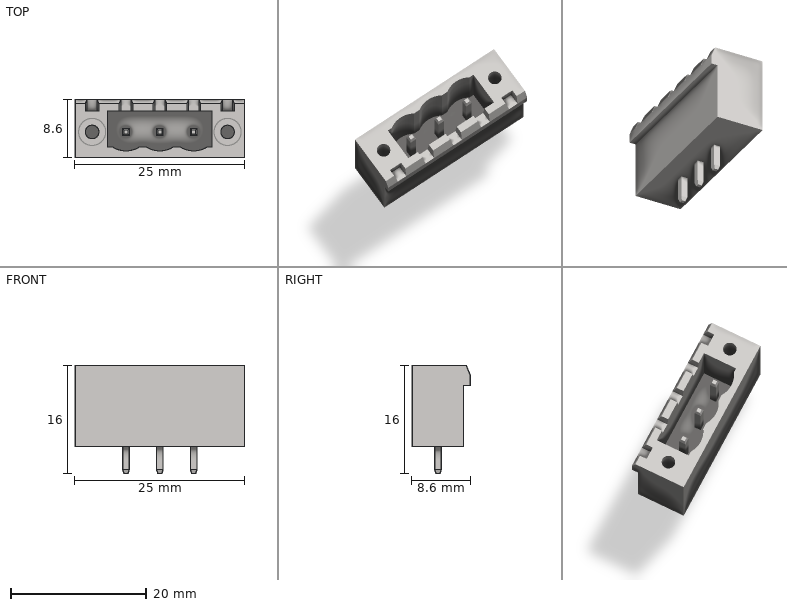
import cadquery as cq

HOUSING_LENGTH = 25.0
HOUSING_HEIGHT = 12.0
FRONT_Y = -3.8
HOUSING_DEPTH = 7.6
BACK_Y = FRONT_Y + HOUSING_DEPTH

LEDGE_OVERHANG = 1.0
LEDGE_HEIGHT = 3.0
LEDGE_BEVEL_DEPTH = 0.6
LEDGE_BEVEL_HEIGHT = 1.5
LEDGE_Y = BACK_Y + LEDGE_OVERHANG

PITCH = 5.0
PIN_COUNT = 3
PIN_SIZE = 1.0
PIN_TIP_SIZE = 0.6
PIN_TAPER_LENGTH = 0.6
PIN_BELOW_HOUSING = 4.0
PIN_TOP_BELOW_RIM = 2.0
PIN_XS = [PITCH * (i - (PIN_COUNT - 1) / 2) for i in range(PIN_COUNT)]

CAVITY_LENGTH = 15.4
CAVITY_FRONT_Y = FRONT_Y + 1.6
CAVITY_BACK_Y = FRONT_Y + 6.9
CAVITY_DEPTH = 8.5
BULGE_WIDTH = 4.0
BULGE_DEPTH = 0.6

NOTCH_TOP_WIDTH = 2.0
NOTCH_FLOOR_WIDTH = 1.5
NOTCH_DEPTH = 1.5

INSERT_X = 10.0
INSERT_DIAMETER = 4.0
INSERT_BORE_DIAMETER = 2.0
INSERT_DEPTH = 6.0

NOTCH_XS = [-INSERT_X] + PIN_XS + [INSERT_X]


def make_housing():
    """Side profile with the bevelled ledge, extruded along X."""
    profile = [
        (FRONT_Y, 0),
        (BACK_Y, 0),
        (BACK_Y, HOUSING_HEIGHT - LEDGE_HEIGHT),
        (LEDGE_Y, HOUSING_HEIGHT - LEDGE_HEIGHT),
        (LEDGE_Y, HOUSING_HEIGHT - LEDGE_BEVEL_HEIGHT),
        (LEDGE_Y - LEDGE_BEVEL_DEPTH, HOUSING_HEIGHT),
        (FRONT_Y, HOUSING_HEIGHT),
    ]
    return cq.Workplane("YZ").polyline(profile).close().extrude(HOUSING_LENGTH / 2, both=True)


def make_cavity():
    """Rectangular pocket whose front wall bulges outward at each contact."""
    half_length = CAVITY_LENGTH / 2
    outline = (
        cq.Workplane("XY", origin=(0, 0, HOUSING_HEIGHT))
        .moveTo(-half_length, CAVITY_BACK_Y)
        .lineTo(-half_length, CAVITY_FRONT_Y)
    )
    for x in PIN_XS:
        outline = outline.lineTo(x - BULGE_WIDTH / 2, CAVITY_FRONT_Y).threePointArc(
            (x, CAVITY_FRONT_Y - BULGE_DEPTH),
            (x + BULGE_WIDTH / 2, CAVITY_FRONT_Y),
        )
    outline = outline.lineTo(half_length, CAVITY_FRONT_Y).lineTo(half_length, CAVITY_BACK_Y)
    return outline.close().extrude(-CAVITY_DEPTH)


def make_notch(x):
    """Trapezoidal notch, narrowing towards its floor."""
    floor_z = HOUSING_HEIGHT - NOTCH_DEPTH
    profile = [
        (x - NOTCH_TOP_WIDTH / 2, HOUSING_HEIGHT),
        (x - NOTCH_FLOOR_WIDTH / 2, floor_z),
        (x + NOTCH_FLOOR_WIDTH / 2, floor_z),
        (x + NOTCH_TOP_WIDTH / 2, HOUSING_HEIGHT),
    ]
    return (
        cq.Workplane("XZ", origin=(0, LEDGE_Y, 0))
        .polyline(profile)
        .close()
        .extrude(LEDGE_Y - CAVITY_BACK_Y)
    )


def make_pin_tip(x, base_z, direction):
    """Four-sided taper leading away from base_z, upward (1) or downward (-1)."""
    return (
        cq.Workplane("XY", origin=(x, 0, base_z))
        .rect(PIN_SIZE, PIN_SIZE)
        .workplane(offset=direction * PIN_TAPER_LENGTH)
        .rect(PIN_TIP_SIZE, PIN_TIP_SIZE)
        .loft()
    )


def make_pin(x):
    """Square contact, tapered at both ends."""
    shank_bottom = -PIN_BELOW_HOUSING + PIN_TAPER_LENGTH
    shank_top = HOUSING_HEIGHT - PIN_TOP_BELOW_RIM - PIN_TAPER_LENGTH
    shank = (
        cq.Workplane("XY", origin=(x, 0, shank_bottom))
        .rect(PIN_SIZE, PIN_SIZE)
        .extrude(shank_top - shank_bottom)
    )
    return shank.union(make_pin_tip(x, shank_bottom, -1)).union(make_pin_tip(x, shank_top, 1))


def make_flange_cylinder(x, diameter):
    """Cylinder sunk into an end flange from the rim."""
    return (
        cq.Workplane("XY", origin=(x, 0, HOUSING_HEIGHT))
        .circle(diameter / 2)
        .extrude(-INSERT_DEPTH)
    )


result = make_housing().cut(make_cavity())
for notch_x in NOTCH_XS:
    result = result.cut(make_notch(notch_x))
for pin_x in PIN_XS:
    result = result.union(make_pin(pin_x))

for insert_x in (-INSERT_X, INSERT_X):
    seat = make_flange_cylinder(insert_x, INSERT_DIAMETER)
    sleeve = seat.cut(make_flange_cylinder(insert_x, INSERT_BORE_DIAMETER))
    result = result.cut(seat, clean=False).union(sleeve, clean=False)